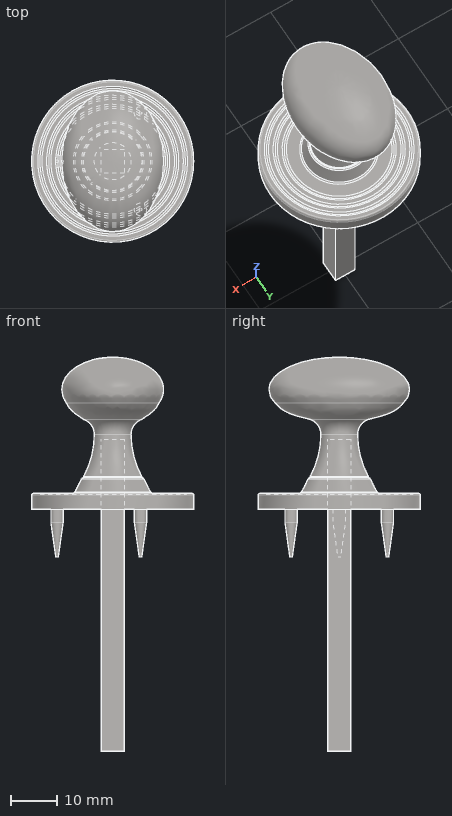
import cadquery as cq
import math


rose_radius = 17.5
rose_thickness = 3.5
rose_edge_fillet = 0.4
groove_radii = [11.85, 13.8, 15.7]
groove_width = 0.9
groove_depth = 0.3

collar_flange_radius = 8.5
collar_foot_radius = 8.15
collar_foot_height = 0.3
collar_shoulder_radius = 6.75
collar_shoulder_z = 6.6
collar_top_radius = 6.45
collar_top_z = 6.85

washer_radius = 6.35
washer_thickness = 0.25

knob_base_z = collar_top_z + washer_thickness
knob_base_radius = 6.3
waist_radius = 4.0
waist_z = 16.2
flare_radius = 6.3
flare_z = 19.4
knob_top_z = 32.86
bulb_half_x = 11.0
bulb_half_y = 15.2
bulb_half_z = 7.0
bulb_center_z = knob_top_z - bulb_half_z
bulb_split_z = 23.0
underside_ovals = [(9.25, 12.55, 21.7), (7.8, 10.0, 20.4)]

spindle_width = 5.0
overall_height = 85.03
spindle_bottom_z = knob_top_z - overall_height
spindle_socket_depth = 8.0
spindle_top_z = knob_base_z + spindle_socket_depth

spike_count = 3
spike_circle_radius = 12.0
spike_radius = 1.35
spike_shank_length = 2.8
spike_length = 10.3
spike_tip_radius = 0.3


def revolved(points):
    """Solid of revolution about Z from (radius, height) points."""
    return cq.Workplane("XZ").polyline(points).close().revolve(360, (0, 0), (0, 1))


def make_spindle():
    length = spindle_top_z - spindle_bottom_z
    bar = cq.Workplane("XY").workplane(offset=spindle_bottom_z)
    return bar.rect(spindle_width, spindle_width).extrude(length)


def make_rose():
    plate = cq.Workplane("XY").circle(rose_radius).extrude(rose_thickness)
    plate = plate.faces(">Z").edges().fillet(rose_edge_fillet)
    for radius in groove_radii:
        groove = revolved(
            [
                (radius - groove_width / 2, rose_thickness),
                (radius, rose_thickness - groove_depth),
                (radius + groove_width / 2, rose_thickness),
            ]
        )
        plate = plate.cut(groove)
    return plate


def make_collar():
    return revolved(
        [
            (0, rose_thickness),
            (collar_flange_radius, rose_thickness),
            (collar_foot_radius, rose_thickness + collar_foot_height),
            (collar_shoulder_radius, collar_shoulder_z),
            (collar_top_radius, collar_top_z),
            (0, collar_top_z),
        ]
    )


def make_washer():
    disc = cq.Workplane("XY").workplane(offset=collar_top_z)
    return disc.circle(washer_radius).extrude(washer_thickness)


def make_bulb():
    """Upper part of an ellipsoid, with an underside that narrows to a circle."""
    stretch = cq.Matrix(
        [
            [bulb_half_x, 0, 0, 0],
            [0, bulb_half_y, 0, 0],
            [0, 0, bulb_half_z, bulb_center_z],
        ]
    )
    unit_ball = cq.Workplane("XY").sphere(1).val()
    ellipsoid = cq.Workplane(unit_ball.transformGeometry(stretch))
    box_size = 4 * bulb_half_y
    split_plane = cq.Workplane("XY").workplane(offset=bulb_split_z)
    space_above = split_plane.rect(box_size, box_size).extrude(box_size)
    upper = ellipsoid.intersect(space_above)

    split_scale = math.sqrt(1 - ((bulb_center_z - bulb_split_z) / bulb_half_z) ** 2)
    split_oval = (bulb_half_x * split_scale, bulb_half_y * split_scale, bulb_split_z)
    flare_circle = (flare_radius, flare_radius, flare_z)
    wires = [oval_wire(*oval) for oval in [split_oval, *underside_ovals, flare_circle]]
    underside = cq.Workplane(cq.Solid.makeLoft(wires))
    return upper.union(underside)


def oval_wire(half_x, half_y, height):
    """Closed ellipse in a level plane; the longer half width runs along Y."""
    edge = cq.Edge.makeEllipse(
        half_y, half_x, cq.Vector(0, 0, height), cq.Vector(0, 0, 1), cq.Vector(0, 1, 0)
    )
    return cq.Wire.assembleEdges([edge])


def waist_arc_middle(end_radius, end_z):
    """Point halfway along the arc that leaves the waist vertically and ends at (end_radius, end_z)."""
    rise = end_z - waist_z
    spread = end_radius - waist_radius
    arc_radius = (rise**2 + spread**2) / (2 * spread)
    half_angle = math.asin(rise / arc_radius) / 2
    middle_radius = waist_radius + arc_radius * (1 - math.cos(half_angle))
    middle_z = waist_z + arc_radius * math.sin(half_angle)
    return (middle_radius, middle_z)


def make_knob():
    neck = (
        cq.Workplane("XZ")
        .moveTo(0, flare_z)
        .lineTo(flare_radius, flare_z)
        .threePointArc(waist_arc_middle(flare_radius, flare_z), (waist_radius, waist_z))
        .threePointArc(waist_arc_middle(knob_base_radius, knob_base_z), (knob_base_radius, knob_base_z))
        .lineTo(0, knob_base_z)
        .close()
        .revolve(360, (0, 0), (0, 1))
    )
    return make_bulb().union(neck)


def make_spike(angle):
    """Round shank under the rose that tapers to a blunt point."""
    spike = revolved(
        [
            (0, 0),
            (spike_radius, 0),
            (spike_radius, -spike_shank_length),
            (spike_tip_radius, -spike_length),
            (0, -spike_length),
        ]
    )
    x = spike_circle_radius * math.cos(math.radians(angle))
    y = spike_circle_radius * math.sin(math.radians(angle))
    return spike.translate((x, y, 0))


spindle = make_spindle()
rose = make_rose().cut(spindle)
collar = make_collar().cut(spindle)
washer = make_washer().cut(spindle)
knob = make_knob().cut(spindle)
spikes = [make_spike(180 + 360 / spike_count * i) for i in range(spike_count)]

result = cq.Compound.makeCompound(
    [
        rose.val(),
        collar.val(),
        washer.val(),
        knob.val(),
        spindle.val(),
        *[spike.val() for spike in spikes],
    ]
)